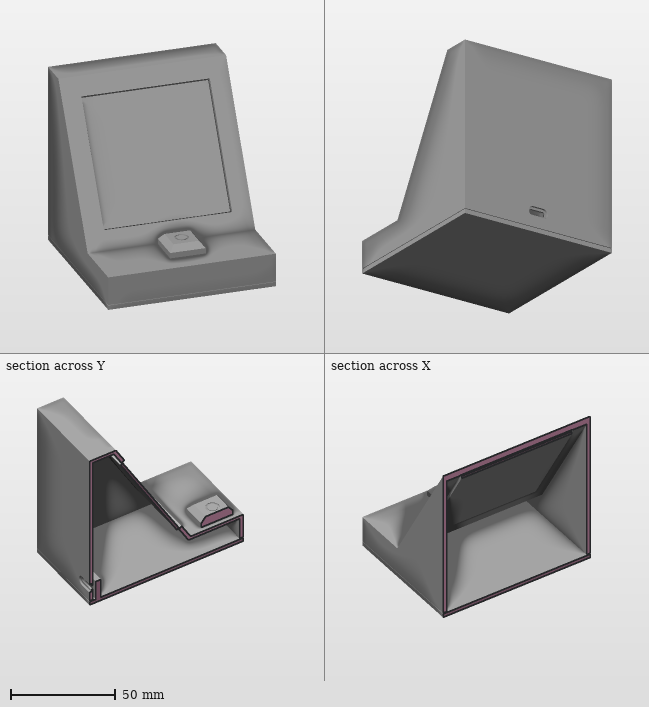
import cadquery as cq
import math

WIDTH = 85.0
HEIGHT = 90.6
TOP_DEPTH = 15.0
SLOPE_DEPTH = 42.5
SHELF_DEPTH = 30.0
SLOPE_ANGLE = 60.0
WALL = 2.1

DEPTH = TOP_DEPTH + SLOPE_DEPTH + SHELF_DEPTH
SLOPE_TAN = math.tan(math.radians(SLOPE_ANGLE))
SHELF_X = TOP_DEPTH + SLOPE_DEPTH
SHELF_Z = HEIGHT - SLOPE_DEPTH * SLOPE_TAN

BASE_THICKNESS = 2.3
SEAM_GAP = 0.3
HOUSING_BOTTOM = BASE_THICKNESS + SEAM_GAP

WINDOW_SIZE = 65.1
SCREEN_CLEARANCE = 0.5
SCREEN_RECESS = 1.5
SCREEN_SIZE = WINDOW_SIZE - 2 * SCREEN_CLEARANCE
SCREEN_THICKNESS = 1.5

PORT_Z = 10.6
PORT_LENGTH = 9.2
PORT_HEIGHT = 2.8
PORT_RECESS_LENGTH = 10.8
PORT_RECESS_HEIGHT = 5.3
PORT_RECESS_DEPTH = 1.1

STOP_GAP = 1.45
STOP_X = WALL + STOP_GAP
STOP_WIDTH = 10.0
STOP_THICKNESS = 3.0
STOP_TOP = PORT_Z + PORT_HEIGHT

KEY_SIZE = 18.0
KEY_TOP_SIZE = 13.0
KEY_GAP = 2.5
KEY_RIM_HEIGHT = 2.8
KEY_BEVEL_HEIGHT = 3.2
KEY_X = SHELF_X + SHELF_DEPTH / 2
RING_OUTER_DIAMETER = 7.0
RING_INNER_DIAMETER = 5.0
RING_DEPTH = 0.4


def slope_plane(depth):
    """Plane parallel to the sloped face, centred on it and sunk by depth; local X runs along Y."""
    angle = math.radians(SLOPE_ANGLE)
    normal = (math.sin(angle), 0, math.cos(angle))
    middle_x = TOP_DEPTH + SLOPE_DEPTH / 2
    middle_z = (HEIGHT + SHELF_Z) / 2
    origin = (middle_x - depth * normal[0], 0, middle_z - depth * normal[2])
    return cq.Plane(origin=origin, xDir=(0, 1, 0), normal=normal)


def extrude_profile(points, width):
    """Solid from an XZ outline, centred on the XZ plane."""
    return cq.Workplane("XZ").polyline(points).close().extrude(width / 2, both=True)


def port_slot(length, height, depth):
    """Round-ended slot cut inwards from the back face."""
    return (
        cq.Workplane("YZ")
        .center(0, PORT_Z)
        .slot2D(length, height)
        .extrude(depth)
    )


def make_housing():
    body = extrude_profile(
        [
            (0, HOUSING_BOTTOM),
            (DEPTH, HOUSING_BOTTOM),
            (DEPTH, SHELF_Z),
            (SHELF_X, SHELF_Z),
            (TOP_DEPTH, HEIGHT),
            (0, HEIGHT),
        ],
        WIDTH,
    )
    inset = WALL * math.tan(math.radians(SLOPE_ANGLE / 2))
    cavity = extrude_profile(
        [
            (WALL, HOUSING_BOTTOM),
            (DEPTH - WALL, HOUSING_BOTTOM),
            (DEPTH - WALL, SHELF_Z - WALL),
            (SHELF_X - inset, SHELF_Z - WALL),
            (TOP_DEPTH - inset, HEIGHT - WALL),
            (WALL, HEIGHT - WALL),
        ],
        WIDTH - 2 * WALL,
    )
    window = cq.Workplane(slope_plane(WALL)).rect(WINDOW_SIZE, WINDOW_SIZE).extrude(WALL)
    port_recess = port_slot(PORT_RECESS_LENGTH, PORT_RECESS_HEIGHT, PORT_RECESS_DEPTH)
    port = port_slot(PORT_LENGTH, PORT_HEIGHT, WALL)
    return body.cut(cavity).cut(window).cut(port_recess).cut(port)


def make_base():
    plate = cq.Workplane("XY").box(DEPTH, WIDTH, BASE_THICKNESS, centered=(False, True, False))
    stop = (
        cq.Workplane("XY")
        .box(STOP_THICKNESS, STOP_WIDTH, STOP_TOP, centered=(False, True, False))
        .translate((STOP_X, 0, 0))
    )
    return plate.union(stop)


def make_screen():
    screen_plane = slope_plane(SCREEN_RECESS)
    return cq.Workplane(screen_plane).rect(SCREEN_SIZE, SCREEN_SIZE).extrude(-SCREEN_THICKNESS)


def make_keycap():
    rim = cq.Workplane("XY").rect(KEY_SIZE, KEY_SIZE).extrude(KEY_RIM_HEIGHT)
    bevel = (
        cq.Workplane("XY", origin=(0, 0, KEY_RIM_HEIGHT))
        .rect(KEY_SIZE, KEY_SIZE)
        .workplane(offset=KEY_BEVEL_HEIGHT)
        .rect(KEY_TOP_SIZE, KEY_TOP_SIZE)
        .loft(ruled=True)
    )
    ring_groove = (
        cq.Workplane("XY", origin=(0, 0, KEY_RIM_HEIGHT + KEY_BEVEL_HEIGHT))
        .circle(RING_OUTER_DIAMETER / 2)
        .circle(RING_INNER_DIAMETER / 2)
        .extrude(-RING_DEPTH)
    )
    keycap = rim.union(bevel).cut(ring_groove)
    return keycap.translate((KEY_X, 0, SHELF_Z + KEY_GAP))


housing = make_housing()
base = make_base()
screen = make_screen()
keycap = make_keycap()

result = cq.Compound.makeCompound([housing.val(), base.val(), screen.val(), keycap.val()])